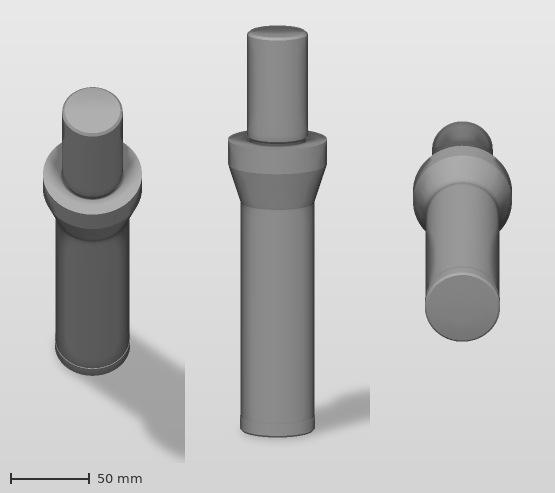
import cadquery as cq

total_height = 259.8
collar_top = 190.0
collar_height = 15.9
cone_bottom = 150.7
relief_bottom = 149.1
end_band_top = 10.0

collar_radius = 31.5
cone_bottom_radius = 24.0
barrel_radius = 23.5
end_band_radius = 24.0

end_chamfer_top = 2.3
end_chamfer = 1.3
end_dome_height = end_chamfer_top - end_chamfer
end_dome_radius = end_band_radius - end_chamfer

rod_radius = 19.2
rod_top_chamfer = 1.5
rod_bottom_chamfer = 1.5
rod_shoulder_height = 2.3
rod_neck_radius = rod_radius - rod_bottom_chamfer
recess_depth = 15.9
recess_mouth_radius = 20.0
recess_mouth_depth = recess_mouth_radius - rod_neck_radius


def make_housing():
    """Turned barrel with a conical shoulder, a collar and a recess for the rod."""
    collar_bottom = collar_top - collar_height
    recess_floor = collar_top - recess_depth
    outline = (
        cq.Workplane("XZ")
        .lineTo(0, recess_floor)
        .lineTo(rod_neck_radius, recess_floor)
        .lineTo(rod_neck_radius, collar_top - recess_mouth_depth)
        .lineTo(recess_mouth_radius, collar_top)
        .lineTo(collar_radius, collar_top)
        .lineTo(collar_radius, collar_bottom)
        .lineTo(cone_bottom_radius, cone_bottom)
        .lineTo(barrel_radius, relief_bottom)
        .lineTo(barrel_radius, end_band_top)
        .lineTo(end_band_radius, end_band_top)
        .lineTo(end_band_radius, end_chamfer_top)
        .lineTo(end_dome_radius, end_dome_height)
    )
    sphere_radius = (end_dome_radius**2 + end_dome_height**2) / (2 * end_dome_height)
    middle_radius = end_dome_radius / 2
    middle_height = sphere_radius - (sphere_radius**2 - middle_radius**2) ** 0.5
    outline = outline.threePointArc((middle_radius, middle_height), (0, 0)).close()
    return outline.revolve(360, (0, 0, 0), (0, 1, 0))


def make_rod():
    """Straight rod, chamfered at both ends, with a neck seated in the recess."""
    recess_floor = collar_top - recess_depth
    shoulder = collar_top + rod_shoulder_height
    return (
        cq.Workplane("XZ")
        .moveTo(0, recess_floor)
        .lineTo(rod_neck_radius, recess_floor)
        .lineTo(rod_neck_radius, shoulder - rod_bottom_chamfer)
        .lineTo(rod_radius, shoulder)
        .lineTo(rod_radius, total_height - rod_top_chamfer)
        .lineTo(rod_radius - rod_top_chamfer, total_height)
        .lineTo(0, total_height)
        .close()
        .revolve(360, (0, 0, 0), (0, 1, 0))
    )


housing = make_housing()
rod = make_rod()
result = cq.Compound.makeCompound([housing.val(), rod.val()])